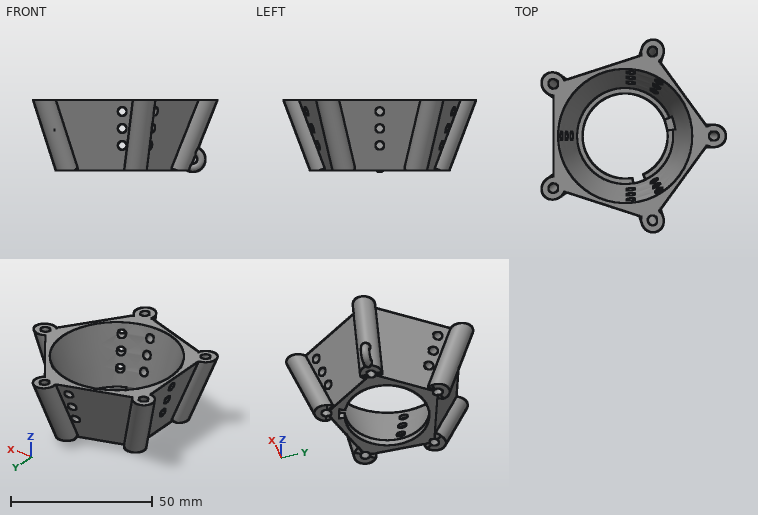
import cadquery as cq
import math

side_count = 5
height = 25.05
corner_radius_top = 31.4
corner_radius_bottom = 21.4

post_diameter = 8.0
post_bore_diameter = 3.3
post_overrun = 6.8

floor_height = 2.5
floor_bore_radius = 15.0
cavity_radius_bottom = 17.0
cavity_radius_top = 23.75

sector_angle = 15.0
key_start_angle = 7.5
key_height = 3.0
notch_start_angle = -80.0
notch_overlap = 0.7

wall_hole_diameter = 3.0
wall_hole_lowest = 8.95
wall_hole_pitch = 6.0
wall_hole_levels = 3
fan_centre_x = 2.0
fan_angles = (62.5, 90.0, 180.0, -90.0, -62.5)
wall_hole_reach = 40.95

eye_ring_radius = 3.0
eye_wire_radius = 1.5
eye_centre_x = 26.95
eye_centre_z = 4.0

corner_lean = corner_radius_top - corner_radius_bottom
post_length = math.hypot(corner_lean, height)
post_direction = cq.Vector(corner_lean, 0, height)
post_foot = cq.Vector(corner_radius_bottom, 0, 0)


def polar(radius, angle):
    """Point at a radius and an angle in degrees."""
    return radius * math.cos(math.radians(angle)), radius * math.sin(math.radians(angle))


def pentagon(radius):
    """Corners of the pentagon, the first one on +X."""
    return [polar(radius, i * 360 / side_count) for i in range(side_count)]


def post_rod(diameter, overrun_below):
    """Rod along the +X corner edge, running past the top."""
    start = post_foot - post_direction.normalized() * overrun_below
    length = post_length + overrun_below + post_overrun
    return cq.Workplane(cq.Solid.makeCylinder(diameter / 2, length, start, post_direction))


def around_corners(shape):
    """Copies of a +X shape at every corner."""
    return [shape.rotate((0, 0, 0), (0, 0, 1), i * 360 / side_count) for i in range(side_count)]


def ring_sector(inner_radius, outer_radius, start_angle, bottom, top):
    """Part of a ring between two radial faces."""
    middle_angle = start_angle + sector_angle / 2
    end_angle = start_angle + sector_angle
    return (
        cq.Workplane("XY", origin=(0, 0, bottom))
        .moveTo(*polar(inner_radius, start_angle))
        .lineTo(*polar(outer_radius, start_angle))
        .threePointArc(polar(outer_radius, middle_angle), polar(outer_radius, end_angle))
        .lineTo(*polar(inner_radius, end_angle))
        .threePointArc(polar(inner_radius, middle_angle), polar(inner_radius, start_angle))
        .close()
        .extrude(top - bottom)
    )


result = (
    cq.Workplane("XY")
    .polyline(pentagon(corner_radius_bottom)).close()
    .workplane(offset=height)
    .polyline(pentagon(corner_radius_top)).close()
    .loft(ruled=True)
)
trim_width = 4 * corner_radius_top
trim_slab = cq.Workplane("XY").box(trim_width, trim_width, height, centered=(True, True, False))
for post in around_corners(post_rod(post_diameter, 0)):
    result = result.union(post.intersect(trim_slab))

eye = cq.Solid.makeTorus(
    eye_ring_radius, eye_wire_radius, cq.Vector(eye_centre_x, 0, eye_centre_z), cq.Vector(0, 1, 0)
)
result = result.union(cq.Workplane(eye))

for bore in around_corners(post_rod(post_bore_diameter, post_overrun)):
    result = result.cut(bore)

cavity = cq.Solid.makeCone(
    cavity_radius_bottom, cavity_radius_top, height - floor_height, cq.Vector(0, 0, floor_height)
)
floor_bore = cq.Workplane("XY").circle(floor_bore_radius).extrude(floor_height)
result = result.cut(cq.Workplane(cavity)).cut(floor_bore)

for angle in fan_angles:
    for level in range(wall_hole_levels):
        hole_start = cq.Vector(fan_centre_x, 0, wall_hole_lowest + level * wall_hole_pitch)
        hole_direction = cq.Vector(*polar(1, angle), 0)
        hole = cq.Solid.makeCylinder(
            wall_hole_diameter / 2, wall_hole_reach, hole_start, hole_direction
        )
        result = result.cut(cq.Workplane(hole))

notch = ring_sector(
    floor_bore_radius - notch_overlap, cavity_radius_bottom, notch_start_angle, 0, floor_height
)
result = result.cut(notch)

cavity_slope = (cavity_radius_top - cavity_radius_bottom) / (height - floor_height)
key_outer_radius = cavity_radius_bottom + key_height * cavity_slope
key = ring_sector(
    floor_bore_radius, key_outer_radius, key_start_angle, floor_height, floor_height + key_height
)
result = result.union(key.intersect(cq.Workplane(cavity)))